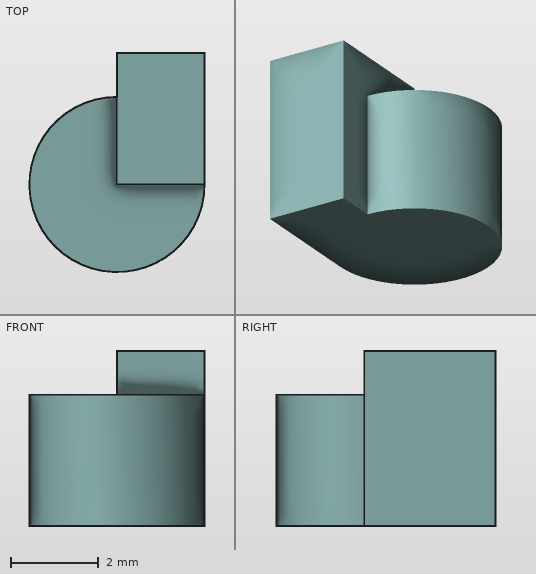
import cadquery as cq

drum_diameter = 4.0
drum_height = 3.0
block_length = 3.0
block_height = 4.0
block_width = drum_diameter / 2


def make_block():
    """Upright block with one vertical edge on the drum axis."""
    return cq.Workplane("XY").box(block_width, block_length, block_height, centered=False)


def make_drum(block):
    """Cylinder about the Z axis, with a quarter notch that receives the block."""
    cylinder = cq.Workplane("XY").circle(drum_diameter / 2).extrude(drum_height)
    return cylinder.cut(block).solids()


block = make_block()
drum = make_drum(block)

result = cq.Compound.makeCompound([drum.val(), block.val()])